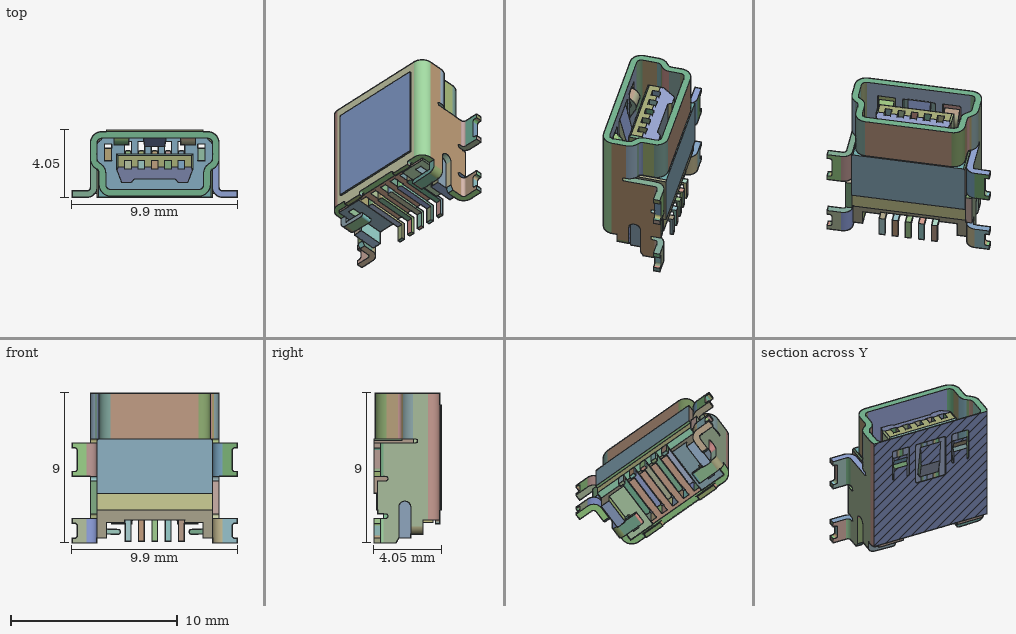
import cadquery as cq
import math


COS_45 = math.sqrt(0.5)

TOP_Z = 9.0
WALL = 0.4
HALF_WIDTH = 3.865
BACK_Y = 3.95
BACK_RADIUS = 0.7
FRONT_Y = 0.075
FRONT_HALF_WIDTH = 3.335
FRONT_RADIUS = 0.7
SHOULDER_OUTER_Y = 1.98
SHOULDER_INNER_Y = 1.58
SHOULDER_RADIUS = 0.76
NECK_RADIUS = 0.25
INNER_HALF_WIDTH = HALF_WIDTH - WALL
BACK_INNER_Y = BACK_Y - WALL
MOUTH_BASE_Z = 6.25
BACK_BOTTOM_Z = 1.39

TAB_REACH = 4.95
TAB_BEND_RADIUS = 0.2
TAB_NOTCH = 0.3
TAB_NOTCH_RADIUS = 0.15
UPPER_TAB_Z = (4.0, 6.01)
LOWER_TAB_Z = (0.0, 1.49)
UPPER_SLIT_DEPTH = 2.6
TAB_SLIT_DEPTH = 0.84
SIDE_EDGE_Y = 0.22
SIDE_EDGE_Z = (1.76, 3.74)

HOOK_Y = (2.21, 2.95)
HOOK_BOTTOM_Z = 0.56
HOOK_TIP_DROP = 0.04
HOOK_THICKNESS = 0.31
HOOK_BEND_RADIUS = 0.42
HOOK_TIP_X = 2.06
HOOK_TIP_RADIUS = 0.15
SLOT_Y = (1.49, 2.21)
SLOT_TOP_Z = 2.52
LEG_BOTTOM_Z = 0.3
SIDE_CORNER_Y = 1.32

REAR_LIP_X = (1.37, 2.6)
REAR_LIP_THICKNESS = 0.27
REAR_LIP_BOTTOM_Z = 1.155
REAR_LIP_FILLET = 0.11
REAR_PLATE_HALF_WIDTH = 2.9
REAR_PLATE_THICKNESS = 0.1
REAR_PLATE_Z = (1.99, 8.3)
WINDOW_TOP_Z = 8.02
WINDOW_RADIUS = 0.12
CENTRE_WINDOW_HALF_WIDTH = 1.0
CENTRE_WINDOW_BOTTOM_Z = 5.2
CENTRE_FINGER_ROOT_Y = 3.62
CENTRE_FINGER_TIP_Y = 3.05
CENTRE_FINGER_TIP_Z = 5.4
CENTRE_FINGER_THICKNESS = 0.3
CENTRE_FINGER_ROOT_HALF = 0.69
CENTRE_FINGER_TIP_HALF = 0.61
SIDE_WINDOW_X = (1.43, 2.55)
SIDE_WINDOW_BOTTOM_Z = 5.9
SIDE_FINGER_X = (1.55, 2.45)
SIDE_FINGER_TIP_BACK = (3.67, 7.63)
SIDE_FINGER_TIP_FRONT = (3.4, 7.38)
SIDE_FINGER_APEX = (3.16, 6.95)
SIDE_FINGER_BEND_END = (3.28, 6.5)
SIDE_FINGER_BEND_BACK = (3.45, 6.95)

BLOCK_FRONT_STEP_Y = 0.155
BLOCK_FRONT_STEP_Z = (1.98, 2.985)
BLOCK_LOWER_FRONT_Y = 0.56
BLOCK_BOTTOM_Z = 1.23
BLOCK_TOP_CHAMFER = 0.09
BLOCK_TOP_CHAMFER_LENGTH = 1.69
BACK_RELIEF = 0.33
BACK_RELIEF_DEPTH = 0.5
RECESS_HALF_WIDTH = 1.8
FLOOR_Z = 3.0
LEG_INNER_X = 2.88
HOOK_HOLE_X = (2.58, 3.0)
HOOK_HOLE_Y = (2.19, 3.2)

TONGUE_TOP_Z = 8.3
TONGUE_HALF_WIDTH = 2.3
TONGUE_BACK_Y = 2.61
TONGUE_TAPER_Y = 1.73
TONGUE_FRONT_Y = 0.89
TONGUE_FRONT_HALF_WIDTH = 1.98
TONGUE_CHAMFER = 0.11
TONGUE_NOTCH_DEPTH = 0.22
TONGUE_NOTCH_HALF_WIDTH = 1.22
TONGUE_NOTCH_FOOT_HALF_WIDTH = 1.42
BEVEL_START_Y = 1.82
BEVEL_DROP = 0.41

CONTACT_COUNT = 5
CONTACT_PITCH = 0.8
CONTACT_WIDTH = 0.355
CONTACT_THICKNESS = 0.2
CONTACT_BACK_Y = 2.8
CONTACT_TOP_Z = 7.5
CONTACT_CORNER_RADIUS = 0.1
PIN_TOP_Z = 1.38
PIN_BOTTOM_Z = 0.11
CHANNEL_WIDTH = 0.4
CHANNEL_BACK_Y = 3.345
POCKET_Y = (1.7, 2.2)
POCKET_DEPTH = 1.0


def box(x_range, y_range, z_range):
    """Axis-aligned box spanning the three ranges."""
    size = [high - low for low, high in (x_range, y_range, z_range)]
    return cq.Workplane().box(*size, centered=False).translate((x_range[0], y_range[0], z_range[0]))


def mirrored(body):
    """The body joined with its mirror image across X = 0."""
    return body.union(body.mirror("YZ"))


def prism_x(points, x_range):
    """Polygon of (y, z) points extruded along X."""
    profile = cq.Workplane("YZ", origin=(x_range[0], 0, 0)).polyline(points).close()
    return profile.extrude(x_range[1] - x_range[0])


def mouth_prism(inset, z_range):
    """Stepped mouth outline, moved inward by the inset, as a prism."""
    right = [
        (HALF_WIDTH, BACK_Y),
        (HALF_WIDTH, SHOULDER_OUTER_Y),
        (FRONT_HALF_WIDTH, SHOULDER_INNER_Y),
        (FRONT_HALF_WIDTH, FRONT_Y),
    ]
    left = [(-x, y) for x, y in reversed(right)]
    height = z_range[1] - z_range[0]
    middle_z = z_range[0] + height / 2
    prism = cq.Workplane(origin=(0, 0, z_range[0])).polyline(right + left).close().extrude(height)
    radii = (BACK_RADIUS, SHOULDER_RADIUS, NECK_RADIUS, FRONT_RADIUS)
    reach = 0.01
    for (_, y), radius in zip(right, radii):
        corners = cq.selectors.BoxSelector(
            (-TAB_REACH, y - reach, middle_z - reach), (TAB_REACH, y + reach, middle_z + reach)
        )
        prism = prism.edges(corners).fillet(radius)
    if inset == 0:
        return prism
    base = prism.faces("<Z").wires().vals()
    return cq.Workplane().add(base).toPending().offset2D(-inset).extrude(height)


def make_mouth():
    outer = mouth_prism(0, (MOUTH_BASE_Z, TOP_Z))
    return outer.cut(mouth_prism(WALL, (MOUTH_BASE_Z, TOP_Z)))


def make_tab(z_range):
    """Side wall foot bent outward onto the mounting plane, at +X."""
    outer_radius = TAB_BEND_RADIUS + WALL
    centre_x = INNER_HALF_WIDTH + outer_radius
    height = z_range[1] - z_range[0]
    tab = (
        cq.Workplane(origin=(0, 0, z_range[0]))
        .moveTo(INNER_HALF_WIDTH, TAB_SLIT_DEPTH)
        .lineTo(INNER_HALF_WIDTH, outer_radius)
        .threePointArc(
            (centre_x - outer_radius * COS_45, outer_radius * (1 - COS_45)),
            (centre_x, 0),
        )
        .lineTo(TAB_REACH, 0)
        .lineTo(TAB_REACH, WALL)
        .lineTo(centre_x, WALL)
        .threePointArc(
            (centre_x - TAB_BEND_RADIUS * COS_45, outer_radius - TAB_BEND_RADIUS * COS_45),
            (HALF_WIDTH, outer_radius),
        )
        .lineTo(HALF_WIDTH, TAB_SLIT_DEPTH)
        .close()
        .extrude(height)
    )
    notch = box(
        (TAB_REACH - TAB_NOTCH, TAB_REACH + TAB_NOTCH),
        (-WALL, 2 * WALL),
        (z_range[0] + TAB_NOTCH, z_range[1] - TAB_NOTCH),
    )
    return tab.cut(notch.edges("|Y and <X").fillet(TAB_NOTCH_RADIUS))


def make_slit(depth, z_range):
    """Round-ended slit through both side walls, open toward the mounting plane."""
    radius = (z_range[1] - z_range[0]) / 2
    return (
        cq.Workplane("YZ", origin=(-TAB_REACH, 0, 0))
        .moveTo(0, z_range[0])
        .lineTo(depth - radius, z_range[0])
        .threePointArc((depth, z_range[0] + radius), (depth - radius, z_range[1]))
        .lineTo(0, z_range[1])
        .close()
        .extrude(2 * TAB_REACH)
    )


def make_wall_slot():
    """Round-topped slot through both side walls, open at the bottom."""
    radius = (SLOT_Y[1] - SLOT_Y[0]) / 2
    return (
        cq.Workplane("YZ", origin=(-TAB_REACH, 0, 0))
        .moveTo(SLOT_Y[0], 0)
        .lineTo(SLOT_Y[0], SLOT_TOP_Z - radius)
        .threePointArc((SLOT_Y[0] + radius, SLOT_TOP_Z), (SLOT_Y[1], SLOT_TOP_Z - radius))
        .lineTo(SLOT_Y[1], 0)
        .close()
        .extrude(2 * TAB_REACH)
    )


def make_lower_shell():
    """Three-sided wall below the mouth, with the outline of the side walls cut out."""
    outer = box((-HALF_WIDTH, HALF_WIDTH), (SIDE_EDGE_Y, BACK_Y), (0, MOUTH_BASE_Z))
    outer = outer.edges("|Z and >Y").fillet(BACK_RADIUS)
    inner = box((-INNER_HALF_WIDTH, INNER_HALF_WIDTH), (0, BACK_INNER_Y), (0, MOUTH_BASE_Z))
    inner = inner.edges("|Z and >Y").fillet(BACK_RADIUS - WALL)
    shell = outer.cut(inner)

    below_tabs = prism_x(
        [
            (BACK_Y, BACK_BOTTOM_Z),
            (HOOK_Y[1], BACK_BOTTOM_Z),
            (HOOK_Y[1], 0),
            (BACK_Y, 0),
        ],
        (-HALF_WIDTH, HALF_WIDTH),
    )
    hook_gap = box((-HALF_WIDTH, HALF_WIDTH), HOOK_Y, (0, HOOK_BOTTOM_Z + HOOK_BEND_RADIUS))
    corner = prism_x(
        [(SIDE_CORNER_Y, 0), (SLOT_Y[0], LEG_BOTTOM_Z), (SLOT_Y[1], LEG_BOTTOM_Z), (SLOT_Y[1], 0)],
        (-HALF_WIDTH, HALF_WIDTH),
    )
    shell = shell.cut(below_tabs).cut(hook_gap).cut(corner).cut(make_wall_slot())

    for z_range in (LOWER_TAB_Z, UPPER_TAB_Z):
        tab_space = box((-HALF_WIDTH, HALF_WIDTH), (0, TAB_SLIT_DEPTH), z_range)
        shell = shell.cut(tab_space).union(mirrored(make_tab(z_range)))

    shell = shell.cut(make_slit(UPPER_SLIT_DEPTH, (UPPER_TAB_Z[1], MOUTH_BASE_Z)))
    shell = shell.cut(make_slit(TAB_SLIT_DEPTH, (SIDE_EDGE_Z[1], UPPER_TAB_Z[0])))
    return shell.cut(make_slit(TAB_SLIT_DEPTH, (LOWER_TAB_Z[1], SIDE_EDGE_Z[0])))


def make_hook():
    """Strip of the +X side wall bent inward under the insulator."""
    bend_z = HOOK_BOTTOM_Z + HOOK_BEND_RADIUS
    bend_x = HALF_WIDTH - HOOK_BEND_RADIUS
    tip_z = HOOK_BOTTOM_Z - HOOK_TIP_DROP
    hook = (
        cq.Workplane("XZ", origin=(0, HOOK_Y[1], 0))
        .moveTo(HALF_WIDTH, BACK_BOTTOM_Z)
        .lineTo(HALF_WIDTH, bend_z)
        .threePointArc(
            (bend_x + HOOK_BEND_RADIUS * COS_45, bend_z - HOOK_BEND_RADIUS * COS_45),
            (bend_x, HOOK_BOTTOM_Z),
        )
        .lineTo(HOOK_TIP_X, tip_z)
        .lineTo(HOOK_TIP_X, tip_z + HOOK_THICKNESS)
        .lineTo(INNER_HALF_WIDTH, HOOK_BOTTOM_Z + HOOK_THICKNESS)
        .lineTo(INNER_HALF_WIDTH, BACK_BOTTOM_Z)
        .close()
        .extrude(HOOK_Y[1] - HOOK_Y[0])
    )
    return hook.edges("|Y and <X").fillet(HOOK_TIP_RADIUS)


def make_rear_details():
    """Plate on the rear wall and the two lips under it."""
    plate = box(
        (-REAR_PLATE_HALF_WIDTH, REAR_PLATE_HALF_WIDTH),
        (BACK_Y, BACK_Y + REAR_PLATE_THICKNESS),
        REAR_PLATE_Z,
    )
    lip_y = (BACK_Y - REAR_LIP_THICKNESS, BACK_Y)
    lip = box(REAR_LIP_X, lip_y, (REAR_LIP_BOTTOM_Z, BACK_BOTTOM_Z))
    fillet_z = BACK_BOTTOM_Z - REAR_LIP_FILLET
    sag = REAR_LIP_FILLET * (1 - COS_45)
    for x, outward in ((REAR_LIP_X[0], -1), (REAR_LIP_X[1], 1)):
        corner = (
            cq.Workplane("XZ", origin=(0, BACK_Y, 0))
            .moveTo(x, fillet_z)
            .threePointArc(
                (x + outward * sag, BACK_BOTTOM_Z - sag),
                (x + outward * REAR_LIP_FILLET, BACK_BOTTOM_Z),
            )
            .lineTo(x, BACK_BOTTOM_Z)
            .close()
            .extrude(REAR_LIP_THICKNESS)
        )
        lip = lip.union(corner)
    return plate.union(mirrored(lip))


def make_window(x_range, bottom_z):
    window = box(x_range, (BACK_INNER_Y - WALL, BACK_Y), (bottom_z, WINDOW_TOP_Z))
    return window.edges("|Y").fillet(WINDOW_RADIUS)


def make_centre_finger():
    """Tapered finger leaning inward from the top of the centre window."""
    profile = [
        (BACK_Y, WINDOW_TOP_Z),
        (CENTRE_FINGER_ROOT_Y, WINDOW_TOP_Z),
        (CENTRE_FINGER_TIP_Y, CENTRE_FINGER_TIP_Z),
        (CENTRE_FINGER_TIP_Y + CENTRE_FINGER_THICKNESS, CENTRE_FINGER_TIP_Z),
    ]
    finger = prism_x(profile, (-CENTRE_FINGER_ROOT_HALF, CENTRE_FINGER_ROOT_HALF))
    taper = (
        cq.Workplane("XZ", origin=(0, BACK_Y, 0))
        .polyline(
            [
                (CENTRE_FINGER_ROOT_HALF, WINDOW_TOP_Z),
                (CENTRE_FINGER_TIP_HALF, CENTRE_FINGER_TIP_Z),
                (-CENTRE_FINGER_TIP_HALF, CENTRE_FINGER_TIP_Z),
                (-CENTRE_FINGER_ROOT_HALF, WINDOW_TOP_Z),
            ]
        )
        .close()
        .extrude(BACK_Y)
    )
    return finger.intersect(taper)


def make_side_finger():
    """Spring finger at +X, rising from its window bottom and bulging inward below its tip."""
    return (
        cq.Workplane("YZ", origin=(SIDE_FINGER_X[0], 0, 0))
        .moveTo(*SIDE_FINGER_TIP_BACK)
        .lineTo(*SIDE_FINGER_TIP_FRONT)
        .threePointArc(SIDE_FINGER_APEX, SIDE_FINGER_BEND_END)
        .lineTo(BACK_INNER_Y, SIDE_WINDOW_BOTTOM_Z)
        .lineTo(BACK_Y, SIDE_WINDOW_BOTTOM_Z)
        .lineTo(*SIDE_FINGER_BEND_BACK)
        .close()
        .extrude(SIDE_FINGER_X[1] - SIDE_FINGER_X[0])
    )


def make_block():
    """Insulator body below the tongue, closing the front of the shell."""
    profile = [
        (0, MOUTH_BASE_Z),
        (0, BLOCK_FRONT_STEP_Z[1]),
        (BLOCK_FRONT_STEP_Y, BLOCK_FRONT_STEP_Z[1]),
        (BLOCK_FRONT_STEP_Y, BLOCK_FRONT_STEP_Z[0]),
        (BLOCK_LOWER_FRONT_Y, BLOCK_FRONT_STEP_Z[0]),
        (BLOCK_LOWER_FRONT_Y, BLOCK_BOTTOM_Z),
        (BACK_INNER_Y, BLOCK_BOTTOM_Z),
        (BACK_INNER_Y, MOUTH_BASE_Z),
    ]
    block = prism_x(profile, (-INNER_HALF_WIDTH, INNER_HALF_WIDTH))
    top_bevel = (
        cq.Workplane("XZ")
        .polyline(
            [
                (INNER_HALF_WIDTH, MOUTH_BASE_Z),
                (INNER_HALF_WIDTH - BLOCK_TOP_CHAMFER, MOUTH_BASE_Z),
                (INNER_HALF_WIDTH, MOUTH_BASE_Z - BLOCK_TOP_CHAMFER),
            ]
        )
        .close()
        .extrude(-BLOCK_TOP_CHAMFER_LENGTH)
    )
    back_relief = (
        cq.Workplane(origin=(0, 0, FLOOR_Z - BACK_RELIEF_DEPTH))
        .polyline(
            [
                (INNER_HALF_WIDTH, BACK_INNER_Y),
                (INNER_HALF_WIDTH - BACK_RELIEF, BACK_INNER_Y),
                (INNER_HALF_WIDTH, BACK_INNER_Y - BACK_RELIEF),
            ]
        )
        .close()
        .extrude(BACK_RELIEF_DEPTH)
    )
    block = block.cut(mirrored(top_bevel.union(back_relief)))
    recess = box(
        (-RECESS_HALF_WIDTH, RECESS_HALF_WIDTH), (0, BACK_INNER_Y), (BLOCK_BOTTOM_Z, PIN_TOP_Z)
    )
    cavity = mouth_prism(WALL, (FLOOR_Z, MOUTH_BASE_Z))
    leg = box(
        (LEG_INNER_X, INNER_HALF_WIDTH), (BLOCK_LOWER_FRONT_Y, HOOK_Y[0]), (LEG_BOTTOM_Z, BLOCK_BOTTOM_Z)
    )
    hook_hole = box(HOOK_HOLE_X, HOOK_HOLE_Y, (0, FLOOR_Z))
    return block.cut(recess).cut(cavity).union(mirrored(leg)).cut(mirrored(hook_hole))


def make_tongue():
    """Tongue rising from the cavity floor, with a bevelled nose."""
    notch_top_y = TONGUE_FRONT_Y + TONGUE_NOTCH_DEPTH
    right = [
        (TONGUE_HALF_WIDTH, TONGUE_BACK_Y),
        (TONGUE_HALF_WIDTH, TONGUE_TAPER_Y),
        (TONGUE_FRONT_HALF_WIDTH, TONGUE_FRONT_Y),
        (TONGUE_NOTCH_FOOT_HALF_WIDTH, TONGUE_FRONT_Y),
        (TONGUE_NOTCH_HALF_WIDTH, notch_top_y),
    ]
    left = [(-x, y) for x, y in reversed(right)]
    tongue = cq.Workplane(origin=(0, 0, FLOOR_Z)).polyline(right + left).close()
    tongue = tongue.extrude(TONGUE_TOP_Z - FLOOR_Z)
    rim = tongue.faces(">Z").edges(">Y or >X or <X")
    tongue = rim.chamfer(TONGUE_CHAMFER)
    bevel = prism_x(
        [
            (BEVEL_START_Y, TONGUE_TOP_Z),
            (TONGUE_FRONT_Y, TONGUE_TOP_Z - BEVEL_DROP),
            (TONGUE_FRONT_Y, TONGUE_TOP_Z),
        ],
        (-TONGUE_HALF_WIDTH, TONGUE_HALF_WIDTH),
    )
    return tongue.cut(bevel)


def make_contact(x):
    """Contact strip on the back of the tongue with its solder pin at the front."""
    x_range = (x - CONTACT_WIDTH / 2, x + CONTACT_WIDTH / 2)
    foot_z = (PIN_TOP_Z - CONTACT_THICKNESS, PIN_TOP_Z)
    strip_y = (TONGUE_BACK_Y - CONTACT_THICKNESS, CONTACT_BACK_Y)
    strip = box(x_range, strip_y, (foot_z[0], CONTACT_TOP_Z))
    strip = strip.edges("|Z and >Y").fillet(CONTACT_CORNER_RADIUS)
    foot = box(x_range, (0, strip_y[1] - CONTACT_CORNER_RADIUS), foot_z)
    pin = box(x_range, (0, CONTACT_THICKNESS), (PIN_BOTTOM_Z, PIN_TOP_Z))
    return strip.union(foot).union(pin)


def make_insulator():
    """Block and tongue with the five contacts in their channels."""
    insulator = make_block().union(make_tongue())
    for index in range(CONTACT_COUNT):
        x = (index - (CONTACT_COUNT - 1) / 2) * CONTACT_PITCH
        channel_x = (x - CHANNEL_WIDTH / 2, x + CHANNEL_WIDTH / 2)
        channel = box(channel_x, (TONGUE_BACK_Y, CHANNEL_BACK_Y), (0, FLOOR_Z))
        pocket = box(channel_x, POCKET_Y, (TONGUE_TOP_Z - POCKET_DEPTH, TONGUE_TOP_Z))
        insulator = insulator.cut(channel).cut(pocket).union(make_contact(x))
    return insulator


def make_shell():
    shell = make_mouth().union(make_lower_shell())
    centre_x = (-CENTRE_WINDOW_HALF_WIDTH, CENTRE_WINDOW_HALF_WIDTH)
    shell = shell.cut(make_window(centre_x, CENTRE_WINDOW_BOTTOM_Z))
    shell = shell.cut(mirrored(make_window(SIDE_WINDOW_X, SIDE_WINDOW_BOTTOM_Z)))
    shell = shell.union(mirrored(make_hook())).union(make_rear_details())
    return shell.union(make_centre_finger()).union(mirrored(make_side_finger()))


result = make_shell().union(make_insulator())